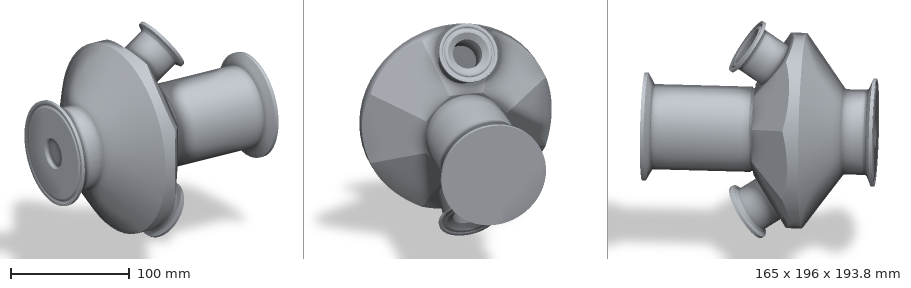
import cadquery as cq
import math

TOTAL_LENGTH = 196.0
FLANGE_RADIUS = 91.0 / 2
TUBE_RADIUS = 72.0 / 2
NECK_RADIUS = 70.0 / 2
DRUM_RADIUS = 165.0 / 2

FRONT_RIM = 2.7
FRONT_TAPER_END = 6.3
FRONT_TAPER_RADIUS = 37.0
FRONT_TUBE_START = 7.8
CONE_START = 26.0
CONE_END = 60.0
CONE_FILLET = 2.2

GROOVE_OUTER = 87.2 / 2
GROOVE_INNER = 39.4
GROOVE_BEVEL_WIDTH = 1.0
GROOVE_BEVEL_DEPTH = 0.4
GROOVE_DEPTH = 1.2
RECESS_RADIUS = 25.0 / 2
RECESS_DEPTH = 4.0
RECESS_CHAMFER = 1.0

FACET_COUNT = 8
FACET_ANGLE = 35.0
TAPER_END = 102.1
FACET_TOP_APOTHEM = 35.5
PYRAMID_BASE_APOTHEM = 98.0
NECK_END = 103.9

TUBE_CHAMFER = TUBE_RADIUS - NECK_RADIUS
REAR_RIM = 3.1
REAR_TAPER_LENGTH = 5.3

PORT_AXIS_RADIUS = 59.5
PORT_LENGTH = 29.2
PORT_RADIUS = 40.0 / 2
PORT_FLANGE_RADIUS = 50.4 / 2
PORT_RIM = 2.5
PORT_TAPER_END = 4.1
PORT_TAPER_RADIUS = 21.4
PORT_TUBE_START = 5.9
PORT_ROOT = 5.9
PORT_BORE_RADIUS = 25.0 / 2
PORT_MOUTH_RADIUS = 17.6
PORT_MOUTH_DEPTH = 4.3
PORT_GROOVE_OUTER = 23.1
PORT_GROOVE_INNER = 19.5
PORT_GROOVE_BEVEL = 0.8


def revolve_y(outline):
    """Turn a closed (radius, Y) outline around the Y axis."""
    return outline.close().revolve(360, (0, 0, 0), (0, 1, 0))


def face_groove(inner, outer, bevel_width):
    """Ring groove cut into a face at Y = 0, with beveled edges and a round bottom."""
    return revolve_y(
        cq.Workplane("XY")
        .moveTo(inner, 0)
        .lineTo(inner + bevel_width, GROOVE_BEVEL_DEPTH)
        .threePointArc(
            ((inner + outer) / 2, GROOVE_DEPTH),
            (outer - bevel_width, GROOVE_BEVEL_DEPTH),
        )
        .lineTo(outer, 0)
    )


def front_shell():
    """Front flange, short tube, cone and the drum behind the cone."""
    shell = revolve_y(
        cq.Workplane("XY")
        .lineTo(FLANGE_RADIUS, 0)
        .lineTo(FLANGE_RADIUS, FRONT_RIM)
        .lineTo(FRONT_TAPER_RADIUS, FRONT_TAPER_END)
        .lineTo(TUBE_RADIUS, FRONT_TUBE_START)
        .lineTo(TUBE_RADIUS, CONE_START)
        .lineTo(DRUM_RADIUS, CONE_END)
        .lineTo(DRUM_RADIUS, TAPER_END)
        .lineTo(0, TAPER_END)
    )
    cone_root = cq.selectors.BoxSelector(
        (-DRUM_RADIUS, CONE_START - CONE_FILLET, -DRUM_RADIUS),
        (DRUM_RADIUS, CONE_START + CONE_FILLET, DRUM_RADIUS),
    )
    return shell.edges("%CIRCLE").edges(cone_root).fillet(CONE_FILLET)


def octagon(apothem):
    """Corners (X, Z) of an octagon with flats facing X and Z."""
    corner_radius = apothem / math.cos(math.pi / FACET_COUNT)
    angles = [(i + 0.5) * 2 * math.pi / FACET_COUNT for i in range(FACET_COUNT)]
    return [(corner_radius * math.cos(a), corner_radius * math.sin(a)) for a in angles]


def faceted_envelope():
    """Octagonal pyramid frustum and the prism in front of it, bounding the rear taper."""
    slope = math.tan(math.radians(FACET_ANGLE))
    base_y = TAPER_END - (PYRAMID_BASE_APOTHEM - FACET_TOP_APOTHEM) * slope
    base_plane = cq.Workplane("XZ", origin=(0, base_y, 0))
    base_corners = octagon(PYRAMID_BASE_APOTHEM)
    prism = base_plane.polyline(base_corners).close().extrude(base_y)
    frustum = (
        base_plane.polyline(base_corners)
        .close()
        .workplane(offset=base_y - TAPER_END)
        .polyline(octagon(FACET_TOP_APOTHEM))
        .close()
        .loft(ruled=True)
    )
    return prism.union(frustum)


def place_port(shape, side):
    """Move a shape built with its mouth at Y = 0 and its foot at +Y onto a facet."""
    angle = math.radians(FACET_ANGLE)
    foot_y = TAPER_END - (PORT_AXIS_RADIUS - FACET_TOP_APOTHEM) * math.tan(angle)
    mouth_y = foot_y + PORT_LENGTH * math.cos(angle)
    mouth_z = PORT_AXIS_RADIUS + PORT_LENGTH * math.sin(angle)
    turn = 180 + side * FACET_ANGLE
    return shape.rotate((0, 0, 0), (1, 0, 0), turn).translate((0, mouth_y, side * mouth_z))


def port_outside():
    return revolve_y(
        cq.Workplane("XY")
        .lineTo(PORT_FLANGE_RADIUS, 0)
        .lineTo(PORT_FLANGE_RADIUS, PORT_RIM)
        .lineTo(PORT_TAPER_RADIUS, PORT_TAPER_END)
        .lineTo(PORT_RADIUS, PORT_TUBE_START)
        .lineTo(PORT_RADIUS, PORT_LENGTH + PORT_ROOT)
        .lineTo(0, PORT_LENGTH + PORT_ROOT)
    )


def port_bore():
    return revolve_y(
        cq.Workplane("XY")
        .lineTo(PORT_MOUTH_RADIUS, 0)
        .lineTo(PORT_BORE_RADIUS, PORT_MOUTH_DEPTH)
        .lineTo(PORT_BORE_RADIUS, PORT_LENGTH)
        .lineTo(0, PORT_LENGTH)
    )


def centre_recess():
    return revolve_y(
        cq.Workplane("XY")
        .lineTo(RECESS_RADIUS + RECESS_CHAMFER, 0)
        .lineTo(RECESS_RADIUS, RECESS_CHAMFER)
        .lineTo(RECESS_RADIUS, RECESS_DEPTH)
        .lineTo(0, RECESS_DEPTH)
    )


def make_housing():
    """Closed front flange, cone, faceted taper, neck and the two ports."""
    body = front_shell().intersect(faceted_envelope())
    neck = cq.Workplane("XZ", origin=(0, NECK_END, 0)).circle(NECK_RADIUS).extrude(NECK_END - CONE_END)
    body = body.union(neck)
    body = body.cut(face_groove(GROOVE_INNER, GROOVE_OUTER, GROOVE_BEVEL_WIDTH))
    body = body.cut(centre_recess())
    port_groove = face_groove(PORT_GROOVE_INNER, PORT_GROOVE_OUTER, PORT_GROOVE_BEVEL)
    for side in (1, -1):
        body = body.union(place_port(port_outside(), side))
        body = body.cut(place_port(port_bore(), side))
        body = body.cut(place_port(port_groove, side))
    return body


def make_rear_tube():
    """Long tube with a flange at its rear end, seated on the housing neck."""
    rim_start = TOTAL_LENGTH - REAR_RIM
    return revolve_y(
        cq.Workplane("XY")
        .moveTo(0, NECK_END)
        .lineTo(NECK_RADIUS, NECK_END)
        .lineTo(TUBE_RADIUS, NECK_END + TUBE_CHAMFER)
        .lineTo(TUBE_RADIUS, rim_start - REAR_TAPER_LENGTH)
        .lineTo(FLANGE_RADIUS, rim_start)
        .lineTo(FLANGE_RADIUS, TOTAL_LENGTH)
        .lineTo(0, TOTAL_LENGTH)
    )


housing = make_housing()
rear_tube = make_rear_tube()
result = cq.Compound.makeCompound([housing.solids().val(), rear_tube.val()])